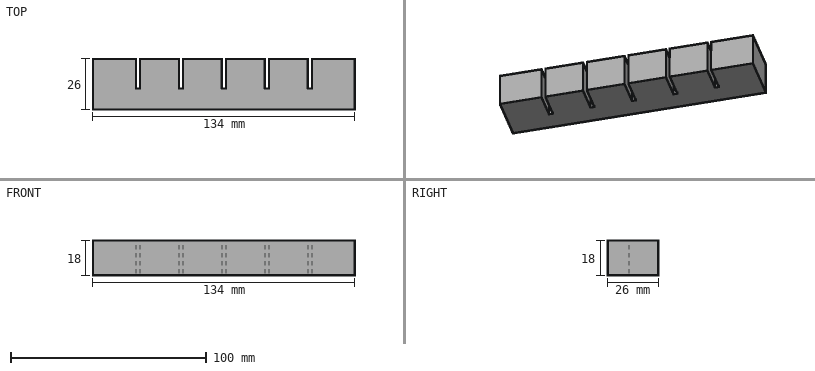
import cadquery as cq

length = 134.0
width = 26.0
height = 18.0

slot_count = 5
slot_pitch = 22.0
slot_width = 2.0
slot_depth = 15.0


def make_bar():
    return cq.Workplane("XY").box(length, width, height)


def make_slots():
    """Slot cutters evenly spaced along X, centred on the bar."""
    slot_center_y = width / 2 - slot_depth / 2
    return (
        cq.Workplane("XY")
        .center(0, slot_center_y)
        .rarray(slot_pitch, 1.3, slot_count, 1)
        .box(slot_width, slot_depth, height)
    )


result = make_bar().cut(make_slots())